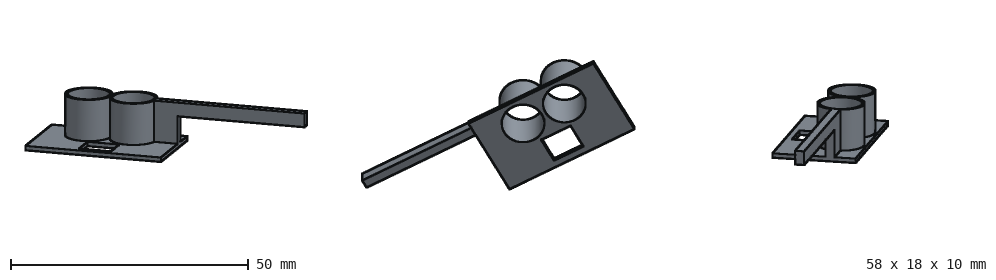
import cadquery as cq

plate_length = 30.0
plate_width = 18.0
plate_thickness = 1.0

total_height = 10.0
tube_outer_diameter = 10.0
tube_bore_diameter = 9.0
first_tube_x = 10.0
tube_spacing = 9.9
tube_y = 12.45
tube_centers = [(first_tube_x, tube_y), (first_tube_x + tube_spacing, tube_y)]

arm_end_x = 58.0
arm_width = 2.0
bar_height = 3.0
arm_start_x = first_tube_x + tube_spacing

window_length = 7.0
window_width = 5.6
window_center_x = first_tube_x + tube_spacing / 2
window_center_y = 4.35


def upright_cylinder(center, diameter):
    """Full-height cylinder on one tube axis."""
    return cq.Workplane("XY").center(*center).circle(diameter / 2).extrude(total_height)


plate = cq.Workplane("XY").box(plate_length, plate_width, plate_thickness, centered=False)

arm = (
    cq.Workplane("XZ", origin=(0, tube_y, 0))
    .moveTo(arm_start_x, 0)
    .lineTo(plate_length, 0)
    .lineTo(plate_length, total_height - bar_height)
    .lineTo(arm_end_x, total_height - bar_height)
    .lineTo(arm_end_x, total_height)
    .lineTo(arm_start_x, total_height)
    .close()
    .extrude(arm_width / 2, both=True)
)

window = (
    cq.Workplane("XY")
    .center(window_center_x, window_center_y)
    .rect(window_length, window_width)
    .extrude(plate_thickness)
)

body = plate.union(arm)
for tube_center in tube_centers:
    body = body.union(upright_cylinder(tube_center, tube_outer_diameter))
for tube_center in tube_centers:
    body = body.cut(upright_cylinder(tube_center, tube_bore_diameter))

result = body.cut(window)